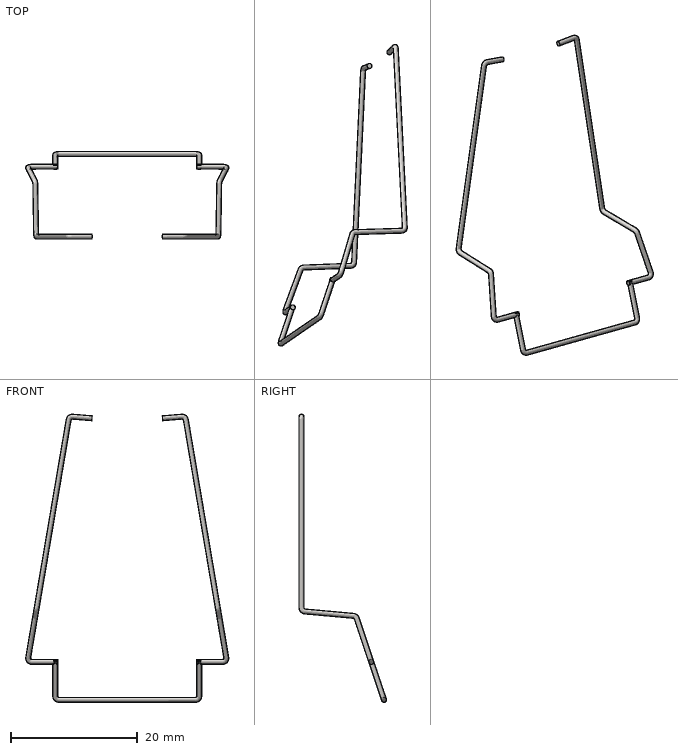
import cadquery as cq
import math

wire_diameter = 0.8
wire_radius = wire_diameter / 2
bend_radius = 0.6

leg_x = 11.38
shelf_x = 15.765
tip_x = 5.56

shelf_z = 6.0
knee_z = 13.24
front_corner_z = 14.02
shoulder_z = 44.8
tip_z = 44.5

front_y = -13.04
lower_lean = math.radians(18.5)
arm_lean = math.radians(9.65)


def lower_y(z):
    """Y of the leaning lower part at height z."""
    return -z * math.tan(lower_lean)


def arm_x(z):
    """X of the inward leaning arm at height z."""
    return shelf_x - (z - shelf_z) * math.tan(arm_lean)


def wire_along(corners):
    """Round wire through the corners, bent to an arc at each inner corner."""
    points = [cq.Vector(*corner) for corner in corners]
    edges = []
    start = points[0]
    for before, corner, after in zip(points, points[1:], points[2:]):
        back = (before - corner).normalized()
        ahead = (after - corner).normalized()
        half_turn = (math.pi - back.getAngle(ahead)) / 2
        setback = bend_radius * math.tan(half_turn)
        crown = bend_radius / math.cos(half_turn) - bend_radius
        arc_start = corner + back * setback
        arc_middle = corner + (back + ahead).normalized() * crown
        arc_end = corner + ahead * setback
        edges.append(cq.Edge.makeLine(start, arc_start))
        edges.append(cq.Edge.makeThreePointArc(arc_start, arc_middle, arc_end))
        start = arc_end
    edges.append(cq.Edge.makeLine(start, points[-1]))
    path = cq.Workplane(obj=cq.Wire.assembleEdges(edges))
    section = cq.Plane(origin=points[0], normal=points[1] - points[0])
    return cq.Workplane(section).circle(wire_radius).sweep(path)


def make_base():
    """Cross bar with an upright leg at each end."""
    leg_top_z = shelf_z + wire_radius * (1 - math.sin(lower_lean))
    leg_top_y = lower_y(leg_top_z)
    return wire_along([
        (-leg_x, leg_top_y, leg_top_z),
        (-leg_x, 0, 0),
        (leg_x, 0, 0),
        (leg_x, leg_top_y, leg_top_z),
    ])


def make_arm():
    """Shelf, knee, tall arm and inturned tip on the +X side."""
    shelf_inner_x = leg_x - wire_radius
    return wire_along([
        (shelf_inner_x, lower_y(shelf_z), shelf_z),
        (shelf_x, lower_y(shelf_z), shelf_z),
        (arm_x(knee_z), lower_y(knee_z), knee_z),
        (arm_x(front_corner_z), front_y, front_corner_z),
        (arm_x(shoulder_z), front_y, shoulder_z),
        (tip_x, front_y, tip_z),
    ])


right_arm = make_arm()
left_arm = right_arm.mirror("YZ")
result = make_base().union(right_arm).union(left_arm)